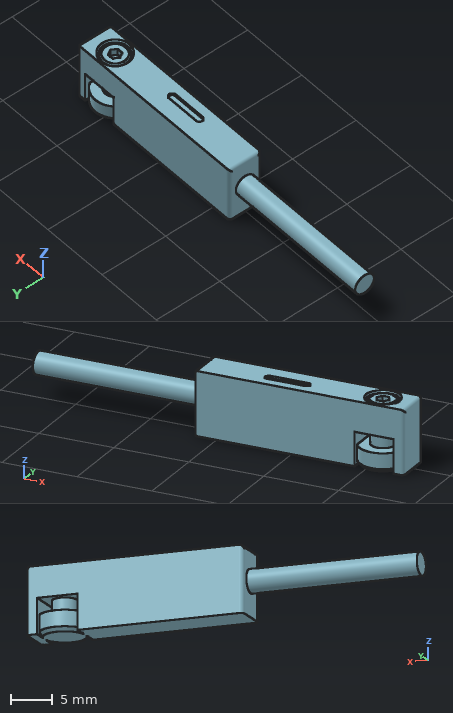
import cadquery as cq
import math

total_length = 50
cable_length = 22
cable_diameter = 3
cable_height = 4.5
body_width = 5
body_height = 8.5
end_fillet = 0.5

window_length = 6
window_width = 1
window_depth = 0.3
window_start = 8.5
window_offset = -0.45

screw_from_end = 4
seat_diameter = 4
seat_chamfer = 0.25
seat_depth = 0.75
head_diameter = 3.8
head_chamfer = 0.25
head_recess = 0.15
hex_across_flats = 1.5
hex_depth = 1
hex_cone_depth = 0.5

slot_width = 5.2
slot_height = 4.5
stem_diameter = 3.1
disc_diameter = 6.3
disc_height = 2.55
disc_chamfer = 0.5

body_length = total_length - cable_length
screw_x = total_length - screw_from_end


def cylinder(diameter, bottom, top):
    """Upright cylinder on the screw axis."""
    plane = cq.Workplane("XY", origin=(screw_x, 0, bottom))
    return plane.circle(diameter / 2).extrude(top - bottom)


def make_body():
    body = cq.Workplane("XY").box(body_length, body_width, body_height, centered=(False, True, False))
    body = body.translate((cable_length, 0, 0))
    body = body.faces("<X or >X").edges("|Z or >Z").fillet(end_fillet)
    slot = cq.Workplane("XY").box(slot_width, body_width, slot_height, centered=(True, True, False))
    return body.cut(slot.translate((screw_x, 0, 0)))


def make_cable():
    return cq.Workplane("YZ").center(0, cable_height).circle(cable_diameter / 2).extrude(cable_length)


def make_window():
    window_x = cable_length + window_start + window_length / 2
    plane = cq.Workplane("XY", origin=(window_x, window_offset, body_height))
    return plane.slot2D(window_length, window_width).extrude(-window_depth)


def make_seat():
    seat = cylinder(seat_diameter, body_height - seat_depth, body_height)
    rim = cq.Solid.makeCone(
        seat_diameter / 2 + seat_chamfer,
        seat_diameter / 2,
        seat_chamfer,
        pnt=cq.Vector(screw_x, 0, body_height),
        dir=cq.Vector(0, 0, -1),
    )
    return seat.union(cq.Workplane(rim))


def make_screw_head():
    head_top = body_height - head_recess
    head = cylinder(head_diameter, body_height - seat_depth, head_top)
    return head.faces(">Z").chamfer(head_chamfer)


def make_hex_socket():
    head_top = body_height - head_recess
    hex_corner_diameter = hex_across_flats / math.cos(math.pi / 6)
    plane = cq.Workplane("XY", origin=(screw_x, 0, head_top))
    socket = plane.polygon(6, hex_corner_diameter).extrude(-hex_depth)
    tip = cq.Solid.makeCone(
        hex_across_flats / 2,
        0,
        hex_cone_depth,
        pnt=cq.Vector(screw_x, 0, head_top - hex_depth),
        dir=cq.Vector(0, 0, -1),
    )
    return socket.union(cq.Workplane(tip))


def make_clamp():
    disc = cylinder(disc_diameter, 0, disc_height).faces("<Z").chamfer(disc_chamfer)
    return disc.union(cylinder(stem_diameter, disc_height, slot_height))


result = make_body().union(make_cable()).cut(make_window()).cut(make_seat())
result = result.union(make_screw_head()).cut(make_hex_socket()).union(make_clamp())